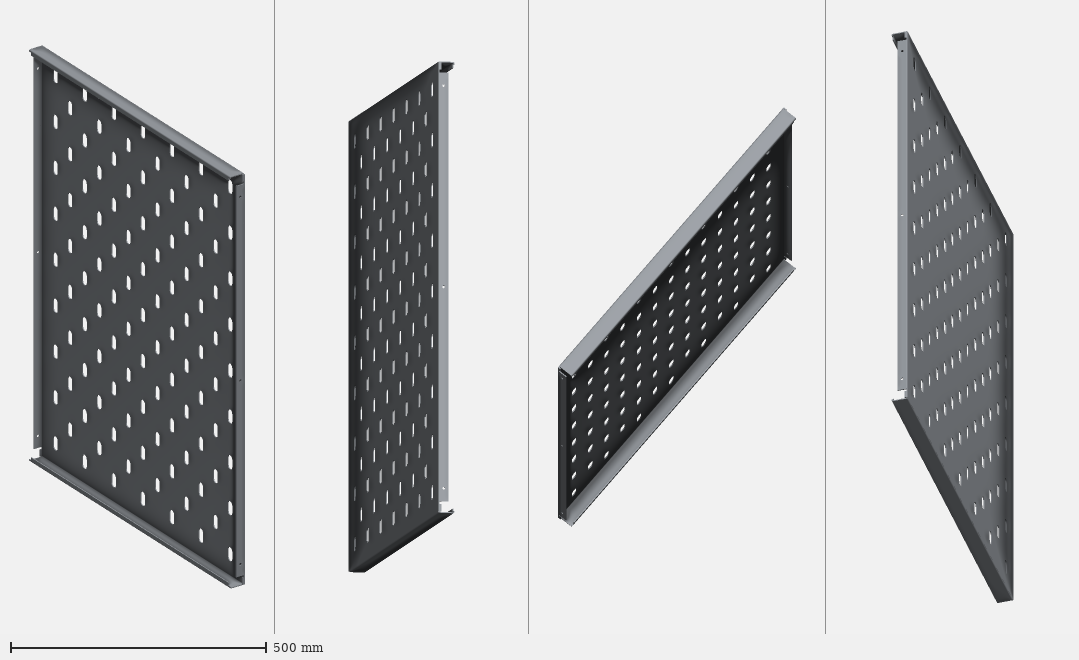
import cadquery as cq

WIDTH = 698.0
DEPTH = 33.0
HEIGHT = 898.0

SHEET = 2.0
BEND_RADIUS = 3.0
INNER_RADIUS = BEND_RADIUS - SHEET

FLANGE_END_GAP = 3.0
LIP_HEIGHT = 11.0
LIP_END_GAP = 9.0
LIP_STEP = 4.5

SIDE_DEPTH = 21.0
SIDE_END_GAP = 22.5
STUB_DEPTH = 6.0
SLIT = 5.0

EDGE_MARGIN = 48.5
SLOT_COLUMNS = 7
SLOT_ROWS = 9
SLOT_WIDTH = 15.0
SLOT_LENGTH = 30.5
PITCH_X = (WIDTH - 2 * EDGE_MARGIN) / (SLOT_COLUMNS - 1)
PITCH_Z = (HEIGHT - 2 * EDGE_MARGIN) / (SLOT_ROWS - 1)

HOLE_DIAMETER = 5.0
HOLE_FROM_BACK = 11.0
HOLE_OFFSET_Z = HEIGHT / 2 - EDGE_MARGIN

BACK = DEPTH / 2
FRONT = -DEPTH / 2


def centred_box(width, y_front, y_back, height):
    """Box centred in X and Z that spans y_front to y_back."""
    box = cq.Workplane("XY").box(width, y_back - y_front, height)
    return box.translate((0, (y_front + y_back) / 2, 0))


def folded_panel():
    """Panel with top and bottom flanges and return lips, folded from one sheet."""
    outer = centred_box(WIDTH, FRONT, BACK, HEIGHT).edges("|X").fillet(BEND_RADIUS)
    inner = centred_box(WIDTH, FRONT + SHEET, BACK - SHEET, HEIGHT - 2 * SHEET)
    inner = inner.edges("|X").fillet(INNER_RADIUS)
    lip_opening = centred_box(WIDTH, FRONT, FRONT + SHEET, HEIGHT - 2 * LIP_HEIGHT)
    return outer.cut(inner).cut(lip_opening)


def trim_ends(panel):
    """Shorten the flanges, and the lips a little more, at both ends in X."""
    flange_zone = centred_box(WIDTH - 2 * FLANGE_END_GAP, FRONT, BACK, HEIGHT)
    panel_zone = centred_box(WIDTH, BACK - BEND_RADIUS, BACK, HEIGHT - 2 * SHEET)
    lip_back = FRONT + BEND_RADIUS
    lip_zone = centred_box(WIDTH, FRONT, lip_back, HEIGHT - 2 * LIP_STEP)
    lip_kept = centred_box(WIDTH - 2 * LIP_END_GAP, FRONT, lip_back, HEIGHT)
    return panel.intersect(flange_zone.union(panel_zone)).cut(lip_zone.cut(lip_kept))


def side_walls(depth, height):
    """Left and right walls bent forward from the panel, joined by the panel sheet."""
    front = BACK - depth
    outer = centred_box(WIDTH, front, BACK, height)
    outer = outer.edges("|Z and >Y").fillet(BEND_RADIUS)
    inner = centred_box(WIDTH - 2 * SHEET, front, BACK - SHEET, height)
    inner = inner.edges("|Z and >Y").fillet(INNER_RADIUS)
    return outer.cut(inner)


def side_flanges():
    """Full side flanges, each parted by slits from the low corner stubs."""
    flange_height = HEIGHT - 2 * SIDE_END_GAP
    flanges = side_walls(SIDE_DEPTH, flange_height)
    stubs = side_walls(STUB_DEPTH, HEIGHT - 2 * SHEET)
    stub_clearance = centred_box(WIDTH, FRONT, BACK - SHEET, flange_height + 2 * SLIT)
    return stubs.cut(stub_clearance).union(flanges)


def slots():
    """Upright slots on every second point of a half-pitch grid."""
    points = []
    for column in range(2 * SLOT_COLUMNS - 1):
        for row in range(2 * SLOT_ROWS - 1):
            if column % 2 == row % 2:
                x = -WIDTH / 2 + EDGE_MARGIN + column * PITCH_X / 2
                z = -HEIGHT / 2 + EDGE_MARGIN + row * PITCH_Z / 2
                points.append((x, z))
    outlines = cq.Workplane("XZ").pushPoints(points).slot2D(SLOT_LENGTH, SLOT_WIDTH, 90)
    return outlines.extrude(DEPTH, both=True)


def fixing_holes():
    """Three holes running in X through both side flanges."""
    y = BACK - HOLE_FROM_BACK
    points = [(y, -HOLE_OFFSET_Z), (y, 0), (y, HOLE_OFFSET_Z)]
    circles = cq.Workplane("YZ").pushPoints(points).circle(HOLE_DIAMETER / 2)
    return circles.extrude(WIDTH, both=True)


sheet_body = trim_ends(folded_panel()).union(side_flanges())
result = sheet_body.cut(slots()).cut(fixing_holes())